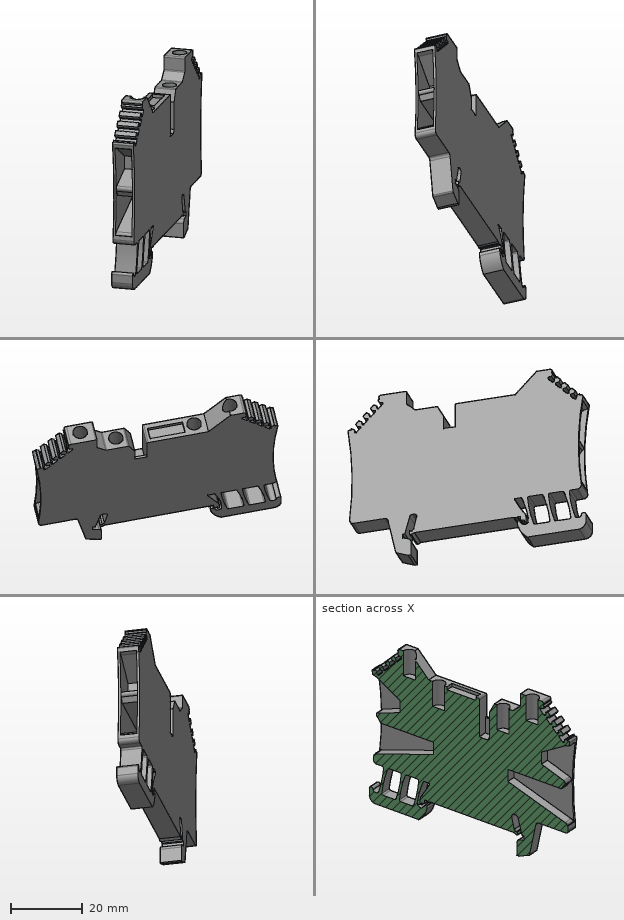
import cadquery as cq
import math

WIDTH = 6.1
HEIGHT = 52.55
Y_CLIP_END = -35.39

Z_DECK = 46.15
Z_SHOULDER = 42.85
Z_UNDERSIDE = 12.9
Z_RAIL_SEAT = 6.97
Y_END = 34.55
Y_END_FOOT = 34.2
Y_END_WAIST = 33.3
Y_END_WAIST_CLIP = 33.15
Z_END_WAIST = 26.5
TOP_CORNER_Y = 25.2
DECK_BEVEL_Y = 8.2
TOWER_INNER_Y = 17.25
TOWER_FOOT = (TOWER_INNER_Y, 48.4)
DECK_RISE = (14.7, Z_DECK)
TOP_RADIUS = 0.4
TOP_CORNER_RADIUS = 0.7
UNDERSIDE_RADIUS = 1.2

HOOK_OUTER_Y = 22.9
HOOK_TIP = (20.5, 1.5)
HOOK_INNER_Y = 16.0
HOOK_NOSE_Z = 5.0
HOOK_GAP = (14.1, 16.2)
HOOK_TIP_RADIUS = 0.6
HOOK_NOSE_RADIUS = 1.2
HOOK_ROOT_RADIUS = 1.0
HOOK_GAP_RADIUS = 0.85
CLIP_TOP_Y = -18.2
CLIP_ROOT_RADIUS = 0.5
CLIP_NOSE_Y = -15.25
CLIP_INNER_Y = -16.4
FOOT_OVERLAP = 1.0

GROOVE_COUNT = 4
GROOVE_STEP = 2.18
GROOVE_FLOOR = (24.9, 49.0)
TOOTH_HEIGHT = 1.94
GROOVE_FLOOR_HALF = 0.93
GROOVE_WIDEST_HALF = 1.16
GROOVE_WIDEST_HEIGHT = 0.27
GROOVE_NECK_HALF = 0.95
GROOVE_NECK_HEIGHT = 0.7
GROOVE_LIP_HALF = 0.61
GROOVE_LIP_HEIGHT = 1.08
GROOVE_MOUTH_HALF = 0.86
MOUTH_CLEARANCE = 0.1

SLOT_FRONT = 3.04
SLOT_BACK = 6.44
Z_SLOT = 38.8
SLOT_STRIP = 0.7
SLOT_EXTRA_DEPTH = 5.0
SLOT_RAMP_RUN = 0.6
SLOT_RAMP_RISE = 1.0

HOLE_DIAMETER = 4.0
HOLE_DEPTH = 2 * HOLE_DIAMETER
HOLE_X = 3.38
HOLE_OUTER_Y = 21.4
HOLE_INNER_Y = 11.2

LABEL_X = (1.2, 4.65)
LABEL_Y = (-8.2, 1.8)
LABEL_DEPTH = 1.0

ENTRY_X = (0.68, 5.45)
FUNNEL_SLOPE = math.tan(math.radians(18))
UPPER_CEILING = 41.6
UPPER_BACK_TOP = 36.06
UPPER_BACK_BOTTOM = 32.3
UPPER_FLOOR = 29.6
LOWER_CEILING = 26.56
LOWER_LEAD_RISE = 1.5
LOWER_LEAD_RUN = 1.0
LOWER_BACK_BOTTOM = 22.8
LOWER_FLOOR = 16.3
DIVIDER_RECESS = 0.3
NOSE_RUN = 0.5
CEILING_LEAD_RISE = 0.7
SILL_RADIUS = 0.8

LEG_PITCH = 6.13
WINDOW_COUNT = 2
Z_CLIP_BAR = 3.8
WINDOW_CORNER = 0.4
CLIP_OUTER_Y = CLIP_TOP_Y - WINDOW_COUNT * LEG_PITCH


def extrude_profile(sketch):
    """Extrude a closed (Y, Z) profile over the full width."""
    return sketch.close().extrude(WIDTH)


def profile(start):
    return cq.Workplane("YZ").moveTo(*start)


def mirrored(points):
    """Mirror (Y, Z) points in Y and reverse their order."""
    return [(-y, z) for y, z in reversed(points)]


def round_edge(body, y, z, radius):
    """Fillet the edge along X that lies nearest to (y, z)."""
    nearest = cq.selectors.NearestToPointSelector((WIDTH / 2, y, z))
    return body.edges("|X").edges(nearest).fillet(radius)


def make_housing():
    shoulder = [
        (Y_END, Z_SHOULDER),
        (33.6, Z_SHOULDER),
        (33.5, 43.2),
        (25.7, 51.0),
        (25.3, 51.4),
        (25.5, 51.9),
        (TOP_CORNER_Y, HEIGHT),
    ]
    deck = [
        (TOWER_INNER_Y, HEIGHT),
        TOWER_FOOT,
        DECK_RISE,
        (DECK_BEVEL_Y, Z_DECK),
        (SLOT_BACK, Z_SHOULDER),
        (SLOT_BACK, Z_SLOT),
        (SLOT_FRONT, Z_SLOT),
        (SLOT_FRONT, Z_DECK),
        (-14.6, Z_DECK),
        (-20.9, HEIGHT),
    ]
    clip_side_lug = [
        (-14.4, Z_UNDERSIDE),
        (-14.4, 12.6),
        (-17.2, 8.0),
        (-17.6, 7.5),
        (-17.8, 6.1),
        (-17.8, 5.07),
        (-17.2, 5.07),
        (-17.2, 5.6),
        (-16.4, 5.7),
        (-16.1, 6.1),
        (-16.1, Z_RAIL_SEAT),
        (-15.4, Z_RAIL_SEAT),
        (-15.2, 6.75),
        (-14.6, 6.75),
        (-14.1, Z_RAIL_SEAT),
    ]
    hook_side_lug = [
        (15.0, Z_RAIL_SEAT),
        (15.9, 6.5),
        (16.4, 6.75),
        (16.4, 7.8),
        (15.8, 7.6),
        (15.2, 8.2),
        (HOOK_GAP[0], Z_UNDERSIDE),
    ]
    outline = profile(shoulder[0])
    outline = outline.polyline(shoulder[1:] + deck + mirrored(shoulder), includeCurrent=True)
    outline = outline.threePointArc((-Y_END_WAIST_CLIP, Z_END_WAIST), (-Y_END_FOOT, Z_UNDERSIDE))
    outline = outline.polyline(clip_side_lug + hook_side_lug, includeCurrent=True)
    outline = outline.lineTo(Y_END_FOOT, Z_UNDERSIDE)
    outline = outline.threePointArc((Y_END_WAIST, Z_END_WAIST), shoulder[0])
    housing = extrude_profile(outline)
    for side in (1, -1):
        housing = round_edge(housing, side * Y_END_FOOT, Z_UNDERSIDE, UNDERSIDE_RADIUS)
        housing = round_edge(housing, side * Y_END, Z_SHOULDER, TOP_RADIUS)
        housing = round_edge(housing, side * TOP_CORNER_Y, HEIGHT, TOP_CORNER_RADIUS)
    deck_corners = [
        (TOWER_INNER_Y, HEIGHT),
        TOWER_FOOT,
        DECK_RISE,
        (DECK_BEVEL_Y, Z_DECK),
        (SLOT_FRONT, Z_DECK),
    ]
    for y, z in deck_corners:
        housing = round_edge(housing, y, z, TOP_RADIUS)
    return housing


def make_hook_foot():
    """Rigid hook that grips one edge of the rail."""
    outline = profile((HOOK_OUTER_Y, Z_UNDERSIDE + FOOT_OVERLAP)).polyline(
        [
            (HOOK_OUTER_Y, Z_UNDERSIDE),
            HOOK_TIP,
            (16.8, 0),
            (HOOK_INNER_Y, 0),
            (HOOK_INNER_Y, HOOK_NOSE_Z),
            (17.8, 5.65),
            (18.5, 5.75),
            (18.5, Z_RAIL_SEAT),
            (17.8, Z_RAIL_SEAT),
            (HOOK_GAP[1], Z_UNDERSIDE),
            (HOOK_GAP[1], Z_UNDERSIDE + FOOT_OVERLAP),
        ],
        includeCurrent=True,
    )
    foot = extrude_profile(outline)
    foot = round_edge(foot, *HOOK_TIP, HOOK_TIP_RADIUS)
    return round_edge(foot, HOOK_INNER_Y, HOOK_NOSE_Z, HOOK_NOSE_RADIUS)


def make_clip_foot():
    """Spring clip: a bottom bar hung from curved legs."""
    outline = profile((CLIP_INNER_Y, Z_UNDERSIDE))
    outline = outline.threePointArc((-17.9, 8.55), (-18.4, 6.1))
    outline = outline.lineTo(-18.4, 4.7)
    outline = outline.threePointArc((-17.6, 4.2), (-16.7, 4.6))
    outline = outline.lineTo(-16.0, 5.5)
    outline = outline.lineTo(CLIP_NOSE_Y, 5.5)
    outline = outline.lineTo(CLIP_NOSE_Y, 4.4)
    outline = outline.threePointArc((-16.1, 2.3), (-18.2, 0))
    outline = outline.lineTo(-33.4, 0)
    outline = outline.threePointArc((-34.75, 0.65), (Y_CLIP_END, 2.1))
    outline = outline.lineTo(Y_CLIP_END, 4.5)
    outline = outline.threePointArc((-34.7, 5.1), (-34.0, 4.4))
    outline = outline.threePointArc((-33.0, Z_CLIP_BAR), (-32.15, 4.4))
    outline = outline.threePointArc((-31.2, 7.8), (CLIP_OUTER_Y, Z_UNDERSIDE))
    outline = outline.lineTo(CLIP_OUTER_Y, Z_UNDERSIDE + FOOT_OVERLAP)
    outline = outline.lineTo(CLIP_INNER_Y, Z_UNDERSIDE + FOOT_OVERLAP)
    return extrude_profile(outline)


def make_clip_window(index):
    """Opening between two neighbouring legs of the clip."""
    shift = -index * LEG_PITCH
    outline = profile((CLIP_TOP_Y + shift, Z_UNDERSIDE))
    outline = outline.lineTo(-22.65 + shift, Z_UNDERSIDE)
    outline = outline.threePointArc((-24.0 + shift, 8.65), (-24.8 + shift, Z_CLIP_BAR))
    outline = outline.lineTo(-20.1 + shift, Z_CLIP_BAR)
    outline = outline.threePointArc((-18.95 + shift, 7.8), (CLIP_TOP_Y + shift, Z_UNDERSIDE))
    return extrude_profile(outline).edges("|X").fillet(WINDOW_CORNER)


def make_marker_grooves():
    """Undercut grooves between the teeth of the shoulder at the +Y end."""
    half_profile = [
        (GROOVE_FLOOR_HALF, 0),
        (GROOVE_WIDEST_HALF, GROOVE_WIDEST_HEIGHT),
        (GROOVE_NECK_HALF, GROOVE_NECK_HEIGHT),
        (GROOVE_LIP_HALF, GROOVE_LIP_HEIGHT),
        (GROOVE_MOUTH_HALF, TOOTH_HEIGHT + MOUTH_CLEARANCE),
    ]
    points = half_profile + mirrored(half_profile)
    groove = cq.Workplane("YZ").polyline(points).close().extrude(WIDTH)
    groove = groove.rotate((0, 0, 0), (1, 0, 0), -45)
    grooves = cq.Workplane("YZ")
    for index in range(GROOVE_COUNT):
        y = GROOVE_FLOOR[0] + index * GROOVE_STEP
        z = GROOVE_FLOOR[1] - index * GROOVE_STEP
        grooves = grooves.add(groove.translate((0, y, z)))
    return grooves.combine()


def make_deep_slot():
    """Deeper part of the deck slot, with a ramp at the foot of its +Y wall."""
    z_floor = Z_SLOT - SLOT_EXTRA_DEPTH
    outline = cq.Workplane("YZ", origin=(SLOT_STRIP, 0, 0)).polyline(
        [
            (SLOT_FRONT, Z_SLOT),
            (SLOT_BACK, Z_SLOT),
            (SLOT_BACK, z_floor + SLOT_RAMP_RISE),
            (SLOT_BACK - SLOT_RAMP_RUN, z_floor),
            (SLOT_FRONT, z_floor),
        ]
    )
    return outline.close().extrude(WIDTH - SLOT_STRIP)


def make_screw_hole(y, z_top):
    return cq.Workplane("XY", origin=(HOLE_X, y, z_top)).circle(HOLE_DIAMETER / 2).extrude(-HOLE_DEPTH)


def make_label_recess():
    size_x = LABEL_X[1] - LABEL_X[0]
    size_y = LABEL_Y[1] - LABEL_Y[0]
    corner = (LABEL_X[0], LABEL_Y[0], Z_DECK - LABEL_DEPTH)
    return cq.Workplane("XY").box(size_x, size_y, LABEL_DEPTH, centered=False).translate(corner)


def make_wire_entries():
    """Two funnels in the -Y end face, parted by a round-nosed divider."""
    y_mouth = -Y_END_WAIST + DIVIDER_RECESS
    y_nose_end = y_mouth + NOSE_RUN
    y_outside = -Y_END - 1
    upper_depth = (UPPER_BACK_BOTTOM - UPPER_FLOOR) / FUNNEL_SLOPE
    lower_depth = (LOWER_BACK_BOTTOM - LOWER_FLOOR) / FUNNEL_SLOPE
    z_lead = LOWER_CEILING + LOWER_LEAD_RISE
    z_sill = LOWER_FLOOR - SILL_RADIUS
    nose = (y_mouth, (UPPER_FLOOR + z_lead) / 2)
    y_sill = -Y_END_WAIST - SILL_RADIUS / 2
    sill_bulge = SILL_RADIUS * (1 - math.sqrt(0.5))
    outline = cq.Workplane("YZ", origin=(ENTRY_X[0], 0, 0)).moveTo(y_outside, UPPER_CEILING)
    outline = outline.lineTo(y_mouth, UPPER_CEILING - CEILING_LEAD_RISE)
    outline = outline.lineTo(y_mouth + upper_depth, UPPER_BACK_TOP)
    outline = outline.lineTo(y_mouth + upper_depth, UPPER_BACK_BOTTOM)
    outline = outline.lineTo(y_nose_end, UPPER_FLOOR)
    outline = outline.threePointArc(nose, (y_nose_end, z_lead))
    outline = outline.lineTo(y_nose_end + LOWER_LEAD_RUN, LOWER_CEILING)
    outline = outline.lineTo(y_mouth + lower_depth, LOWER_CEILING)
    outline = outline.lineTo(y_mouth + lower_depth, LOWER_BACK_BOTTOM)
    outline = outline.lineTo(y_sill + SILL_RADIUS, LOWER_FLOOR)
    outline = outline.threePointArc(
        (y_sill + sill_bulge, LOWER_FLOOR - sill_bulge), (y_sill, z_sill)
    )
    outline = outline.lineTo(y_outside, z_sill)
    return outline.close().extrude(ENTRY_X[1] - ENTRY_X[0])


def cut_at_both_ends(body, cutter):
    return body.cut(cutter).cut(cutter.mirror("XZ"))


result = make_housing().union(make_hook_foot()).union(make_clip_foot())
result = round_edge(result, HOOK_OUTER_Y, Z_UNDERSIDE, HOOK_ROOT_RADIUS)
result = round_edge(result, CLIP_OUTER_Y, Z_UNDERSIDE, CLIP_ROOT_RADIUS)
for gap_corner in HOOK_GAP:
    result = round_edge(result, gap_corner, Z_UNDERSIDE, HOOK_GAP_RADIUS)
for window_index in range(WINDOW_COUNT):
    result = result.cut(make_clip_window(window_index))
result = cut_at_both_ends(result, make_marker_grooves())
result = cut_at_both_ends(result, make_wire_entries())
result = result.cut(make_deep_slot()).cut(make_label_recess())
for hole_y, hole_top in [
    (HOLE_OUTER_Y, HEIGHT),
    (HOLE_INNER_Y, Z_DECK),
    (-HOLE_INNER_Y, Z_DECK),
    (-HOLE_OUTER_Y, HEIGHT),
]:
    result = result.cut(make_screw_hole(hole_y, hole_top))